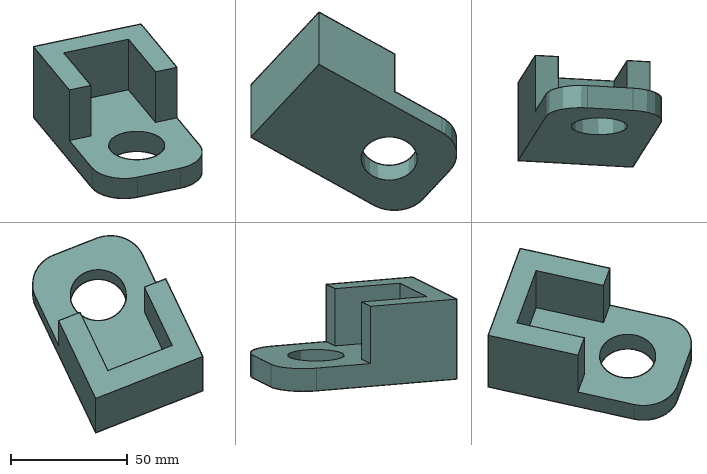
import cadquery as cq

length = 80.0
width = 50.0
plate_thickness = 10.0
corner_radius = 15.0

total_height = 35.0
wall_length = 40.0
wall_thickness = 10.0

hole_diameter = 24.0
hole_x = 55.0


def make_plate():
    """Flat plate with its two front corners rounded and a through hole."""
    plate = cq.Workplane("XY").box(length, width, plate_thickness, centered=(False, True, False))
    plate = plate.edges("|Z and >X").fillet(corner_radius)
    hole = cq.Workplane("XY").center(hole_x, 0).circle(hole_diameter / 2).extrude(plate_thickness)
    return plate.cut(hole)


def make_wall():
    """Back wall and two side walls around a pocket that ends at the plate top."""
    pocket_width = width - 2 * wall_thickness
    pocket_length = wall_length - wall_thickness
    wall_height = total_height - plate_thickness
    plate_top = cq.Workplane("XY").workplane(offset=plate_thickness)
    block = plate_top.box(wall_length, width, wall_height, centered=(False, True, False))
    pocket = plate_top.center(wall_thickness, 0).box(
        pocket_length, pocket_width, wall_height, centered=(False, True, False)
    )
    return block.cut(pocket)


result = make_plate().union(make_wall()).clean()